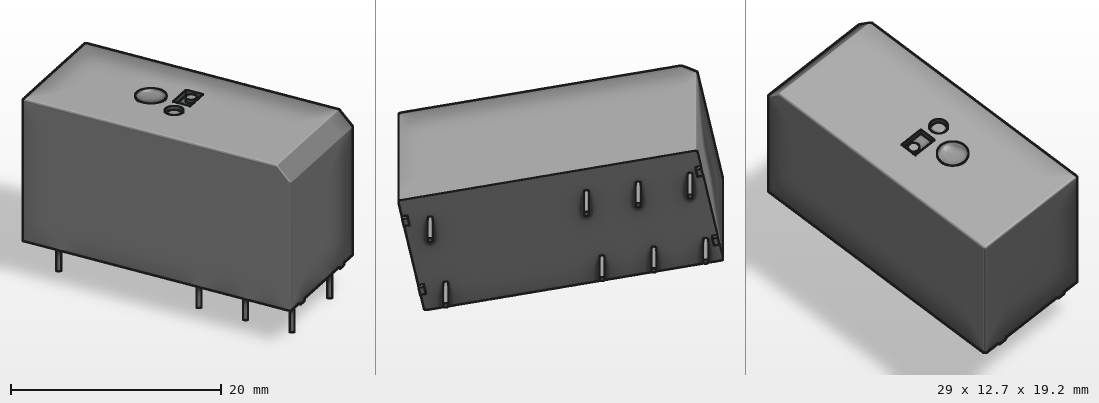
import cadquery as cq

length = 29.0
width = 12.7
overall_height = 19.2
housing_height = 15.43
edge_radius = 0.25
end_chamfer = 1.5

pin_length = overall_height - housing_height
pin_diameter = 0.5
pin_row_y = 3.77
coil_pin_x = -11.9
contact_pitch = 5.02
last_contact_x = 13.28
contacts_per_row = 3
pin_x_positions = [coil_pin_x] + [last_contact_x - i * contact_pitch for i in range(contacts_per_row)]

foot_height = 0.25
foot_top_width = 1.1
foot_bottom_width = 0.8
foot_thickness = 0.55
foot_y = 3.97

dish_x = -3.97
dish_radius = 1.5
dish_floor_radius = 0.32
dish_depth = 0.5

pocket_x = -0.67
pocket_length_x = 1.83
pocket_length_y = 2.6
pocket_y = pocket_length_y / 2
pocket_depth = 0.58
button_y = 1.9
button_radius = 0.55
button_height = 0.38

well_x = pocket_x
well_y = -1.48
well_radius = 0.9
dome_flat_radius = 0.38
dome_shoulder_radius = well_radius - dome_flat_radius
dome_top_depth = 0.2
well_depth = dome_top_depth + dome_shoulder_radius


def make_housing():
    """Box with a bevelled top edge at the +X end and all edges rounded except the bottom ones."""
    box = cq.Workplane("XY").box(length, width, housing_height, centered=(True, True, False))
    bevelled = box.edges(">X and >Z").chamfer(end_chamfer)
    return bevelled.edges("not <Z").fillet(edge_radius)


def make_pins():
    """Two rows of round pins hanging from the housing underside."""
    points = [(x, side * pin_row_y) for x in pin_x_positions for side in (-1, 1)]
    return cq.Workplane("XY").pushPoints(points).circle(pin_diameter / 2).extrude(-pin_length)


def make_foot(end, side):
    """Tapered foot flush with the end wall on the given X end and Y side."""
    outer_x = end * length / 2
    top = foot_top_width / 2
    bottom = foot_bottom_width / 2
    outline = [(-top, 0), (top, 0), (bottom, -foot_height), (-bottom, -foot_height)]
    return (
        cq.Workplane("YZ", origin=(outer_x, side * foot_y, 0))
        .polyline(outline)
        .close()
        .extrude(-end * foot_thickness)
    )


def cut_dish(body):
    """Bowl whose quarter-ellipse wall is upright at the rim and runs level into a flat floor."""
    bowl = (
        cq.Workplane("XZ")
        .lineTo(0, -dish_depth)
        .lineTo(dish_floor_radius, -dish_depth)
        .ellipseArc(dish_radius - dish_floor_radius, dish_depth, 270, 360)
        .close()
        .revolve(360, (0, 0, 0), (0, 1, 0))
    )
    return body.cut(bowl.translate((dish_x, 0, housing_height)))


def cut_pocket(body):
    floor_z = housing_height - pocket_depth
    pocket = (
        cq.Workplane("XY", origin=(pocket_x, pocket_y, floor_z))
        .rect(pocket_length_x, pocket_length_y)
        .extrude(pocket_depth)
    )
    button = (
        cq.Workplane("XY", origin=(pocket_x, button_y, floor_z))
        .circle(button_radius)
        .extrude(button_height)
    )
    return body.cut(pocket.cut(button))


def cut_well(body):
    """Round well whose floor is a dome with quarter-round shoulders and a flat top."""
    well = (
        cq.Workplane("XZ")
        .lineTo(well_radius, 0)
        .lineTo(well_radius, -well_depth)
        .ellipseArc(dome_shoulder_radius, dome_shoulder_radius, 0, 90)
        .lineTo(0, -dome_top_depth)
        .close()
        .revolve(360, (0, 0, 0), (0, 1, 0))
    )
    return body.cut(well.translate((well_x, well_y, housing_height)))


result = make_housing().union(make_pins())
for end in (-1, 1):
    for side in (-1, 1):
        result = result.union(make_foot(end, side))
result = cut_dish(result)
result = cut_pocket(result)
result = cut_well(result)